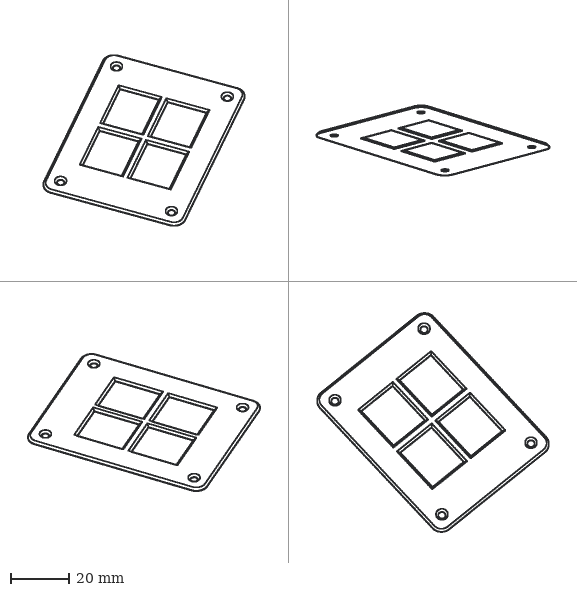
import cadquery as cq

plate_width = 51.7
plate_length = 67.25
plate_thickness = 1.0
corner_radius = 4.05

land_height = 0.2
bevel = plate_thickness - land_height

window_width = 14.25
window_length = 16.95
window_pitch_x = 17.5
window_pitch_y = 20.45
window_grid_shift = 0.7

hole_diameter = 2.5
hole_spacing_x = 40.6
hole_spacing_y = 56.15


def make_plate():
    """Rounded plate with its upper rim bevelled."""
    plate = cq.Workplane("XY").rect(plate_width, plate_length).extrude(plate_thickness)
    return plate.edges("|Z").fillet(corner_radius).faces(">Z").edges().chamfer(bevel)


def make_window():
    """Cutter for a rectangular window that widens towards the top face."""
    straight = cq.Workplane("XY").rect(window_width, window_length).extrude(plate_thickness)
    flare = (
        cq.Workplane("XY")
        .workplane(offset=land_height)
        .rect(window_width, window_length)
        .workplane(offset=bevel)
        .rect(window_width + 2 * bevel, window_length + 2 * bevel)
        .loft(ruled=True)
    )
    return straight.union(flare)


def make_screw_hole():
    """Cutter for a round hole with a conical countersink."""
    radius = hole_diameter / 2
    profile = [
        (0, 0),
        (radius, 0),
        (radius, land_height),
        (radius + bevel, plate_thickness),
        (0, plate_thickness),
    ]
    return cq.Workplane("XZ").polyline(profile).close().revolve(360, (0, 0), (0, 1))


result = make_plate()
window = make_window()
screw_hole = make_screw_hole()
for side_x in (-0.5, 0.5):
    for side_y in (-0.5, 0.5):
        window_y = side_y * window_pitch_y + window_grid_shift
        result = result.cut(window.translate((side_x * window_pitch_x, window_y, 0)))
        result = result.cut(screw_hole.translate((side_x * hole_spacing_x, side_y * hole_spacing_y, 0)))